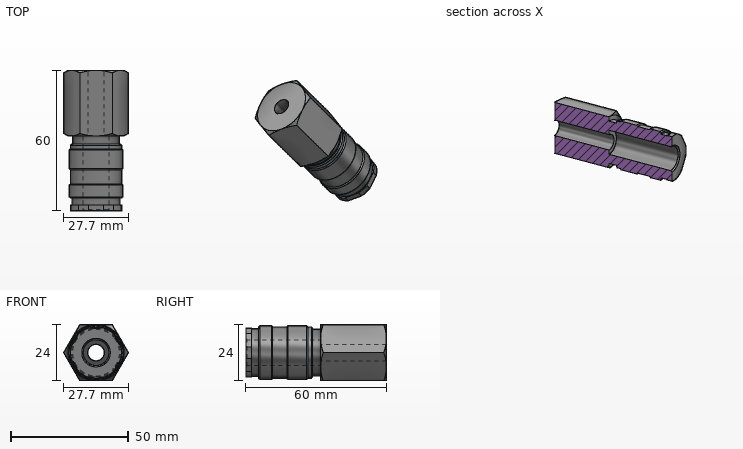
import cadquery as cq
import math

TOTAL_LENGTH = 60.0

HEX_ACROSS_FLATS = 24.0
HEX_FRONT = 32.0
HEX_CHAMFER_ANGLE = 30.0

RING_DIAMETER = 23.0
SLEEVE_DIAMETER = 22.0
FRONT_NECK_DIAMETER = 20.6
REAR_NECK_DIAMETER = 20.0

COLLAR_END = 2.5
FRONT_NECK_END = 5.5
FRONT_RING_END = 11.5
GROOVE_END = 17.5
REAR_RING_END = 26.5
SLEEVE_END = 28.5
EDGE_CHAMFER = 0.5

COLLAR_ACROSS_FLATS = 21.0

THROUGH_DIAMETER = 7.0
SOCKET_DIAMETER = 11.0
SOCKET_DEPTH = HEX_FRONT
SOCKET_CHAMFER = 0.6


def disc(diameter, start, end):
    """Cylinder on the Y axis between two Y positions."""
    plane = cq.Workplane("XZ", origin=(0, start, 0))
    return plane.circle(diameter / 2).extrude(start - end)


def hexagon(across_flats, start, end):
    """Hexagonal bar on the Y axis with two corners on the X axis."""
    across_corners = across_flats / math.cos(math.pi / 6)
    plane = cq.Workplane("XZ", origin=(0, start, 0))
    return plane.polygon(6, across_corners).extrude(start - end)


def wrench_hexagon():
    """Rear hexagon with its corners turned down by a cone at both ends."""
    face_radius = HEX_ACROSS_FLATS / 2
    blank_radius = HEX_ACROSS_FLATS
    cone_depth = (blank_radius - face_radius) * math.tan(math.radians(HEX_CHAMFER_ANGLE))
    turned_blank = (
        cq.Workplane("XY")
        .moveTo(0, HEX_FRONT)
        .lineTo(face_radius, HEX_FRONT)
        .lineTo(blank_radius, HEX_FRONT + cone_depth)
        .lineTo(blank_radius, TOTAL_LENGTH - cone_depth)
        .lineTo(face_radius, TOTAL_LENGTH)
        .lineTo(0, TOTAL_LENGTH)
        .close()
        .revolve(360, (0, 0, 0), (0, 1, 0))
    )
    return hexagon(HEX_ACROSS_FLATS, HEX_FRONT, TOTAL_LENGTH).intersect(turned_blank)


def collar():
    """Front collar: a disc cut by six flats."""
    flats = hexagon(COLLAR_ACROSS_FLATS, 0, COLLAR_END)
    return disc(SLEEVE_DIAMETER, 0, COLLAR_END).intersect(flats)


def sleeve():
    """Necks, grip sleeve and its two raised rings."""
    front_neck = disc(FRONT_NECK_DIAMETER, COLLAR_END, FRONT_NECK_END)
    grip = disc(SLEEVE_DIAMETER, FRONT_NECK_END, SLEEVE_END).faces(">Y").chamfer(EDGE_CHAMFER)
    rear_neck = disc(REAR_NECK_DIAMETER, SLEEVE_END, HEX_FRONT)
    body = front_neck.union(grip).union(rear_neck)
    for start, end in ((FRONT_NECK_END, FRONT_RING_END), (GROOVE_END, REAR_RING_END)):
        ring = disc(RING_DIAMETER, start, end).faces("<Y or >Y").chamfer(EDGE_CHAMFER)
        body = body.union(ring)
    return body


def bores():
    """Through hole plus the wider front socket with a chamfered mouth."""
    through = disc(THROUGH_DIAMETER, 0, TOTAL_LENGTH)
    socket = disc(SOCKET_DIAMETER, 0, SOCKET_DEPTH)
    mouth_diameter = SOCKET_DIAMETER + 2 * SOCKET_CHAMFER
    mouth = (
        cq.Workplane("XZ")
        .circle(mouth_diameter / 2)
        .workplane(offset=-SOCKET_CHAMFER)
        .circle(SOCKET_DIAMETER / 2)
        .loft()
    )
    return through.union(socket).union(mouth)


result = wrench_hexagon().union(sleeve()).union(collar()).cut(bores())